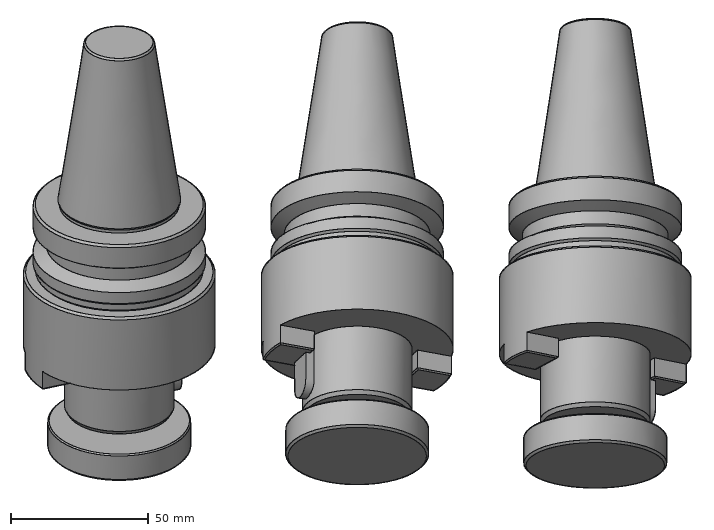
import cadquery as cq

top_z = 168.4
gauge_z = 103.0
flange_top_z = 101.0
groove_upper_z = 91.6
groove_lower_z = 81.5
flange_bottom_z = 76.1
body_top_z = 73.0
body_bottom_z = 43.0
arbor_bottom_z = 16.0
head_top_z = 11.1

taper_tip_radius = 13.0
taper_base_radius = 22.4
relief_radius = 21.9
flange_radius = 31.5
groove_radius = 26.6
groove_flank_height = 2.5
neck_radius = 30.6
body_radius = 35.0
arbor_radius = 20.0
screw_radius = 10.0
head_radius = 26.1

edge_chamfer = 0.8
tip_chamfer = 0.7
arbor_chamfer_height = 1.5
arbor_chamfer_width = 0.8
head_top_chamfer = 0.5

tongue_width = 15.8
tongue_height = 7.5
tongue_inner_y = 20.5
tongue_chamfer = 0.5

key_width = 10.1
key_outer_y = 22.7
key_inner_y = 15.2
key_bottom_z = 19.5


def turned_body():
    """Taper, grooved flange, body, arbor and screw as one revolved solid."""
    profile = [
        (0, top_z),
        (taper_tip_radius - tip_chamfer, top_z),
        (taper_tip_radius, top_z - tip_chamfer),
        (taper_base_radius, gauge_z),
        (relief_radius, gauge_z - edge_chamfer),
        (relief_radius, flange_top_z),
        (flange_radius - edge_chamfer, flange_top_z),
        (flange_radius, flange_top_z - edge_chamfer),
        (flange_radius, groove_upper_z),
        (groove_radius, groove_upper_z - groove_flank_height),
        (groove_radius, groove_lower_z + groove_flank_height),
        (flange_radius, groove_lower_z),
        (flange_radius, flange_bottom_z + edge_chamfer),
        (neck_radius, flange_bottom_z),
        (neck_radius, body_top_z + edge_chamfer),
        (neck_radius - edge_chamfer, body_top_z),
        (body_radius - edge_chamfer, body_top_z),
        (body_radius, body_top_z - edge_chamfer),
        (body_radius, body_bottom_z),
        (arbor_radius, body_bottom_z),
        (arbor_radius, arbor_bottom_z + arbor_chamfer_height),
        (arbor_radius - arbor_chamfer_width, arbor_bottom_z),
        (screw_radius, arbor_bottom_z),
        (screw_radius, head_top_z),
        (head_radius - head_top_chamfer, head_top_z),
        (head_radius, head_top_z - head_top_chamfer),
        (head_radius, edge_chamfer),
        (head_radius - edge_chamfer, 0),
        (0, 0),
    ]
    return cq.Workplane("XZ").polyline(profile).close().revolve(360, (0, 0, 0), (0, 1, 0))


def drive_tongue(side):
    """Tongue on the +Y (side = 1) or -Y (side = -1) edge of the body face."""
    length = body_radius - tongue_inner_y
    block = (
        cq.Workplane("XY", origin=(0, side * (tongue_inner_y + length / 2), body_bottom_z))
        .rect(tongue_width, length)
        .extrude(-tongue_height)
    )
    rim = (
        cq.Workplane("XY", origin=(0, 0, body_bottom_z))
        .circle(body_radius)
        .extrude(-tongue_height)
    )
    return block.intersect(rim).faces("<Z").chamfer(tongue_chamfer)


def feather_key():
    """Key running down from the body face to a round lower end."""
    half_width = key_width / 2
    round_center_z = key_bottom_z + half_width
    return (
        cq.Workplane("XZ", origin=(0, key_outer_y, 0))
        .moveTo(-half_width, body_bottom_z)
        .lineTo(-half_width, round_center_z)
        .threePointArc((0, key_bottom_z), (half_width, round_center_z))
        .lineTo(half_width, body_bottom_z)
        .close()
        .extrude(key_outer_y - key_inner_y)
    )


result = turned_body().union(feather_key())
for side in (-1, 1):
    result = result.union(drive_tongue(side))